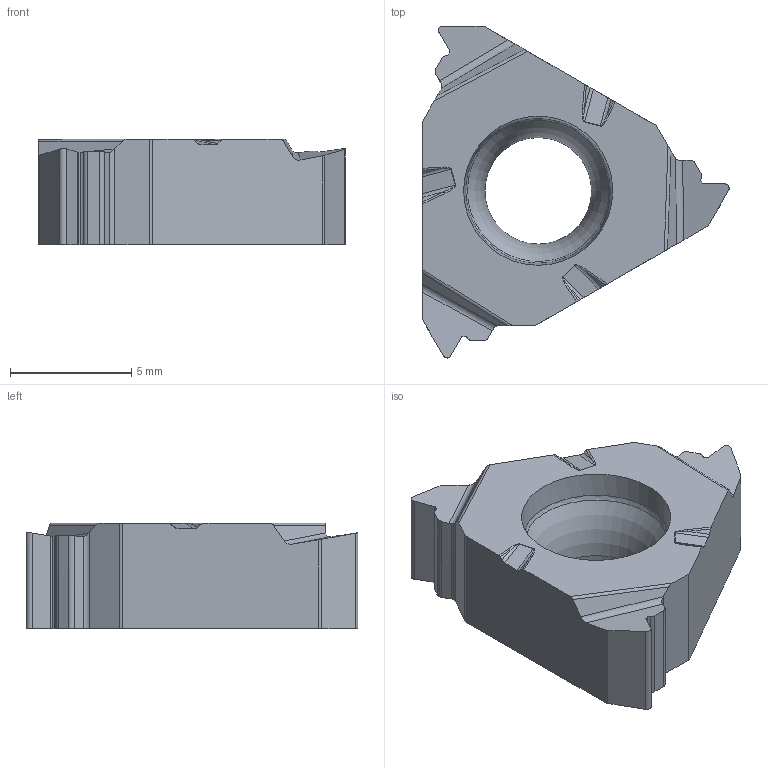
import cadquery as cq
import math

THICKNESS = 4.35
INSCRIBED_RADIUS = 9.525 / 2
CORNER_COUNT = 3
CORNER_STEP = 360 / CORNER_COUNT

CORNER_SIDES = [
    (60, INSCRIBED_RADIUS, 0.25),
    (30, 5.57, 0.24),
    (90, 1.25, 0.22),
    (30, 6.18, 0.20),
    (-30, 5.57, 0.14),
    (30, 6.02, 0.07),
    (90, 0.28, 0.18),
    (-30, 6.80, 0.25),
]

BORE_RADIUS = 4.4 / 2
MOUTH_RADIUS = 3.08
BELL_START_DEPTH = 1.12
BELL_END_DEPTH = 3.5
BELL_RADIUS = 4.0
MOUTH_BLEND_RADIUS = 0.4

RAKE_ANGLE = 8
GROOVE_TILT = 5.3
GROOVE_YAW = 1
GROOVE_WALL_ANGLE = 60
GROOVE_ROOT_X = 5.78
GROOVE_ROOT_DEPTH = 0.70
GROOVE_ROOT_RADIUS = 0.3
GROOVE_EDGE_RADIUS = 0.15
GROOVE_REACH = 4.0
GROOVE_TOP = 2.0

NOTCH_REACH = 2.6
NOTCH_SKEW = 15
NOTCH_SLOPE = 9.5
NOTCH_END_X = -3.51
NOTCH_END_Y = 0.56
NOTCH_FLOOR_WIDTH = 0.67
NOTCH_WALL_ANGLE = 42
NOTCH_ROOT_RADIUS = 0.22
NOTCH_TOP = 1.0
NOTCH_RIM_RADIUS = 0.12

SELECTION_MARGIN = 0.05


def corner_of(side, next_side):
    """Point where two sides, each given by its normal direction and distance, cross."""
    angle, next_angle = math.radians(side[0]), math.radians(next_side[0])
    det = math.sin(next_angle - angle)
    x = (side[1] * math.sin(next_angle) - next_side[1] * math.sin(angle)) / det
    y = (next_side[1] * math.cos(angle) - side[1] * math.cos(next_angle)) / det
    return cq.Vector(x, y)


def rounded_outline(plane, corners):
    """Closed outline through (point, radius) corners, each rounded by a tangent arc."""
    outline = cq.Workplane(plane)
    for index, (point, radius) in enumerate(corners):
        back = (corners[index - 1][0] - point).normalized()
        ahead = (corners[(index + 1) % len(corners)][0] - point).normalized()
        half_angle = back.getAngle(ahead) / 2
        tangent_length = radius / math.tan(half_angle)
        arc_start = point + back * tangent_length
        arc_end = point + ahead * tangent_length
        arc_distance = radius / math.sin(half_angle) - radius
        arc_middle = point + (back + ahead).normalized() * arc_distance
        if index == 0:
            outline = outline.moveTo(arc_start.x, arc_start.y)
        else:
            outline = outline.lineTo(arc_start.x, arc_start.y)
        if radius > 0:
            outline = outline.threePointArc((arc_middle.x, arc_middle.y), (arc_end.x, arc_end.y))
    return outline.close()


def make_body():
    sides = []
    for index in range(CORNER_COUNT):
        for angle, distance, radius in CORNER_SIDES:
            sides.append((angle - index * CORNER_STEP, distance, radius))
    corners = []
    for index, side in enumerate(sides):
        next_side = sides[(index + 1) % len(sides)]
        corners.append((corner_of(side, next_side), side[2]))
    return rounded_outline("XY", corners).extrude(THICKNESS)


def make_hole():
    """Solid of revolution that removes the bore, its bell and its mouth."""
    bell_height = BELL_END_DEPTH - BELL_START_DEPTH
    half_height = bell_height / 2
    center_radius = BORE_RADIUS + BELL_RADIUS
    bell_start_radius = center_radius - math.sqrt(BELL_RADIUS**2 - bell_height**2)
    bell_middle_radius = center_radius - math.sqrt(BELL_RADIUS**2 - half_height**2)
    bell_end_z = THICKNESS - BELL_END_DEPTH
    bell_start_z = THICKNESS - BELL_START_DEPTH
    profile = (
        cq.Workplane("XZ")
        .lineTo(BORE_RADIUS, 0)
        .lineTo(BORE_RADIUS, bell_end_z)
        .threePointArc((bell_middle_radius, bell_end_z + half_height), (bell_start_radius, bell_start_z))
        .lineTo(MOUTH_RADIUS, THICKNESS)
        .lineTo(0, THICKNESS)
        .close()
    )
    hole = profile.revolve(360, (0, 0, 0), (0, 1, 0))
    mouth_edge = cq.selectors.BoxSelector(
        (-MOUTH_RADIUS, -MOUTH_RADIUS, bell_start_z - MOUTH_BLEND_RADIUS / 2),
        (MOUTH_RADIUS, MOUTH_RADIUS, bell_start_z + MOUTH_BLEND_RADIUS / 2),
        boundingbox=True,
    )
    return hole.edges(mouth_edge).fillet(MOUTH_BLEND_RADIUS)


def make_chip_groove():
    """Groove running nearly along Y, with a floor that rises toward the tooth tip and falls toward -Y."""
    rise = GROOVE_REACH * math.tan(math.radians(RAKE_ANGLE))
    wall_run = GROOVE_TOP / math.tan(math.radians(GROOVE_WALL_ANGLE))
    corners = [
        (cq.Vector(0, 0), GROOVE_ROOT_RADIUS),
        (cq.Vector(GROOVE_REACH, rise), 0),
        (cq.Vector(GROOVE_REACH, GROOVE_TOP), 0),
        (cq.Vector(-wall_run, GROOVE_TOP), 0),
    ]
    prism = rounded_outline("XZ", corners).extrude(GROOVE_REACH, both=True)
    prism = prism.rotate((0, 0, 0), (1, 0, 0), GROOVE_TILT)
    prism = prism.rotate((0, 0, 0), (0, 0, 1), GROOVE_YAW)
    return prism.translate((GROOVE_ROOT_X, 0, THICKNESS - GROOVE_ROOT_DEPTH))


def make_notch():
    """Tapered notch whose floor meets the top face at its inner end and falls toward the -X side."""
    half_floor = NOTCH_FLOOR_WIDTH / 2 + NOTCH_ROOT_RADIUS * math.tan(math.radians(NOTCH_WALL_ANGLE / 2))
    half_top = half_floor + NOTCH_TOP / math.tan(math.radians(NOTCH_WALL_ANGLE))
    corners = [
        (cq.Vector(-half_floor, 0), NOTCH_ROOT_RADIUS),
        (cq.Vector(half_floor, 0), NOTCH_ROOT_RADIUS),
        (cq.Vector(half_top, NOTCH_TOP), 0),
        (cq.Vector(-half_top, NOTCH_TOP), 0),
    ]
    prism = rounded_outline("YZ", corners).extrude(-NOTCH_REACH)
    prism = prism.rotate((0, 0, 0), (0, 1, 0), -NOTCH_SLOPE)
    prism = prism.rotate((0, 0, 0), (0, 0, 1), NOTCH_SKEW)
    return prism.translate((NOTCH_END_X, NOTCH_END_Y, THICKNESS))


def cut_groove(insert):
    """Cut the chip groove of the +X corner and round its upper edge."""
    insert = insert.cut(make_chip_groove())
    wall_run = GROOVE_ROOT_DEPTH / math.tan(math.radians(GROOVE_WALL_ANGLE))
    upper_edge = cq.selectors.NearestToPointSelector((GROOVE_ROOT_X - wall_run, 0, THICKNESS))
    return insert.edges(upper_edge).fillet(GROOVE_EDGE_RADIUS)


def cut_notch(insert):
    """Cut the notch of the -X side and round its rim on the top face."""
    insert = insert.cut(make_notch())
    rim = cq.selectors.BoxSelector(
        (-INSCRIBED_RADIUS + SELECTION_MARGIN, -INSCRIBED_RADIUS / 2, THICKNESS - SELECTION_MARGIN),
        (NOTCH_END_X + SELECTION_MARGIN, INSCRIBED_RADIUS / 2, THICKNESS + SELECTION_MARGIN),
    )
    return insert.faces(">Z").edges(rim).fillet(NOTCH_RIM_RADIUS)


def make_insert():
    insert = make_body()
    for _ in range(CORNER_COUNT):
        insert = cut_groove(insert)
        insert = cut_notch(insert)
        insert = insert.rotate((0, 0, 0), (0, 0, 1), CORNER_STEP)
    return insert.cut(make_hole())


result = make_insert()